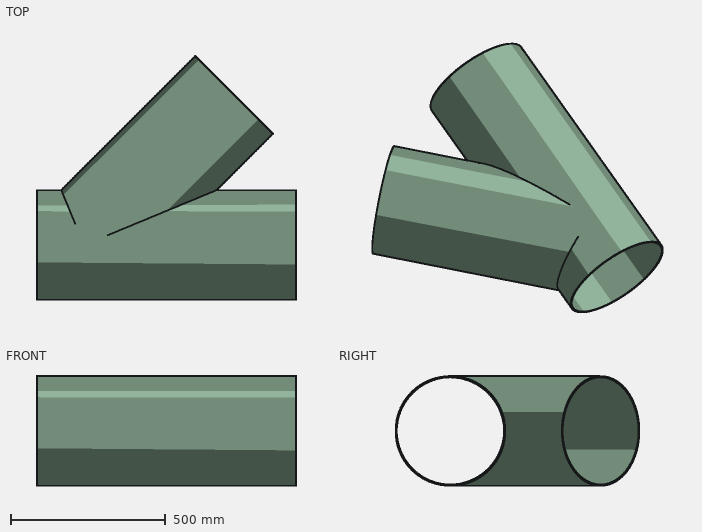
import cadquery as cq

outer_diameter = 355.0
inner_diameter = 346.0

run_length = 838.0
junction_from_end = 152.5
branch_length = 686.5
branch_angle = 45.0


def run_cylinder(diameter):
    """Solid cylinder along X, with the junction of the axes at the origin."""
    plane = cq.Workplane("YZ", origin=(-junction_from_end, 0, 0))
    return plane.circle(diameter / 2).extrude(run_length)


def branch_cylinder(diameter):
    """Solid cylinder from the junction along the inclined branch axis."""
    along_x = cq.Workplane("YZ").circle(diameter / 2).extrude(branch_length)
    return along_x.rotate((0, 0, 0), (0, 0, 1), branch_angle)


def lateral_tee(diameter):
    """Run and branch of equal diameter joined into one solid."""
    return run_cylinder(diameter).union(branch_cylinder(diameter))


result = lateral_tee(outer_diameter).cut(lateral_tee(inner_diameter))